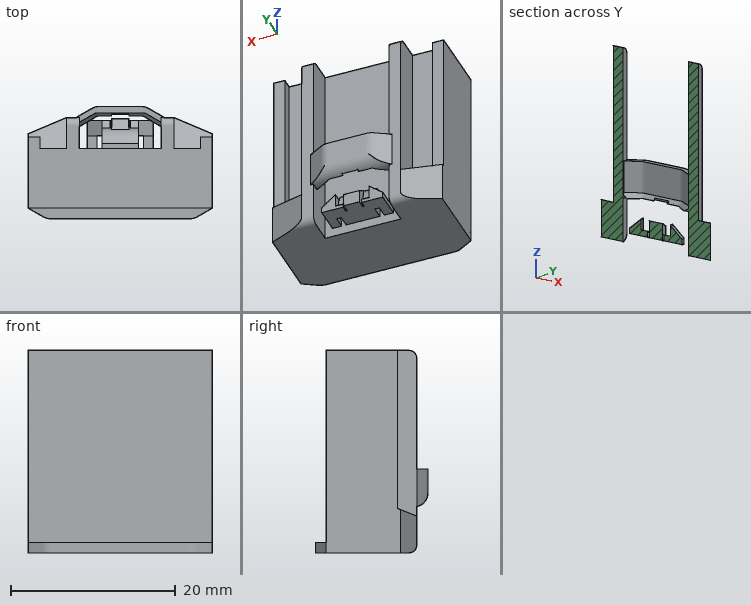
import cadquery as cq
import math

width = 22.35
height = 24.6
back_panel_y = 7.25
half_width = width / 2
side_slope = math.tan(math.radians(30))

lip_depth = 1.3
lip_height = 1.3
lip_corner_radius = 1.85

side_wall_thickness = 1.48
side_wall_y = 8.65
rib_inner_x = 4.97
rib_outer_x = 6.52
rib_y = 11.0
rib_end_radius = 0.98

foot_side_y = 9.03
foot_top_at_panel = 5.95
foot_top_at_rib = 4.48

arch_y = 12.35
arch_thickness = 0.79
arch_crown_half_width = 3.03
arch_bottom = 5.58
arch_top = 10.2
arch_edge_radius = 1.72
arch_bend_radius = 1.72
opening_crown_half_width = 2.98
opening_bend_radius = 1.1
hook_start = 6.25
hook_angle = 35.0
arch_notch_half_width = 1.03
arch_notch_y = 11.4

latch_half_width = 4.0
latch_y = 10.65
arm_inner_x = 2.8
latch_bottom = 1.23
arm_top = 1.97
shoulder_y = 8.78
shoulder_outer_top = 1.97
shoulder_inner_top = 3.45
tongue_half_width = 2.21
tongue_flat_y = 7.82
tongue_flat_top = 4.92
tongue_bend_angle = 75.0
tongue_step_y = 9.72
tongue_tip_top = 1.72
button_half_width = 1.03
button_gap = 0.17
button_gap_y = 9.82
button_back_y = 10.87
button_front_y = 9.52
button_front_top = 3.94
button_back_top = 2.95


def box(x0, x1, y0, y1, z0, z1):
    """Axis-aligned box between two corners."""
    return cq.Workplane("XY").box(x1 - x0, y1 - y0, z1 - z0, centered=False).translate((x0, y0, z0))


def extrude_along_x(profile, x0, x1):
    """Extrude a closed list of (y, z) points from x0 to x1."""
    return cq.Workplane("YZ", origin=(x0, 0, 0)).polyline(profile).close().extrude(x1 - x0)


def both_sides(shape):
    """The shape together with its mirror image across X = 0."""
    return shape.union(shape.mirror("YZ"))


def make_body():
    core = box(-half_width, half_width, 0, back_panel_y, 0, height)
    wall = box(half_width - side_wall_thickness, half_width, 0, side_wall_y, 0, height)
    return core.union(both_sides(wall))


def make_lip():
    tip_half_width = half_width - lip_depth / side_slope
    lip = (
        cq.Workplane("XY")
        .polyline([
            (-half_width, 0),
            (-tip_half_width, -lip_depth),
            (tip_half_width, -lip_depth),
            (half_width, 0),
        ])
        .close()
        .extrude(lip_height)
    )
    return lip.edges("|Z and <Y").fillet(lip_corner_radius)


def make_foot():
    foot = (
        cq.Workplane("XY")
        .polyline([
            (rib_outer_x, back_panel_y),
            (half_width, back_panel_y),
            (half_width, foot_side_y),
            (rib_outer_x, rib_y),
        ])
        .close()
        .extrude(foot_top_at_panel)
    )
    side_profile = extrude_along_x(
        [(back_panel_y, 0), (rib_y, 0), (rib_y, foot_top_at_rib), (back_panel_y, foot_top_at_panel)],
        rib_outer_x,
        half_width,
    )
    return foot.intersect(side_profile)


def make_ribs_and_feet():
    rib = box(rib_inner_x, rib_outer_x, back_panel_y, rib_y, 0, height)
    rounded_outline = box(rib_inner_x, half_width, 0, rib_y, 0, height)
    rounded_outline = rounded_outline.edges("|X and >Y").fillet(rib_end_radius)
    return both_sides(rib.union(make_foot()).intersect(rounded_outline))


def arch_prism(crown_y, crown_half_width, bend_radius, top, bottom, draft=0):
    """Flat-crowned prism with sloped sides, extruded downwards and narrowed by the draft angle."""
    slope_run = crown_y / side_slope
    prism = (
        cq.Sketch()
        .polygon([
            (-crown_half_width - slope_run, 0),
            (-crown_half_width, crown_y),
            (crown_half_width, crown_y),
            (crown_half_width + slope_run, 0),
            (-crown_half_width - slope_run, 0),
        ])
        .vertices(">Y")
        .fillet(bend_radius)
    )
    return (
        cq.Workplane("XY", origin=(0, 0, top))
        .placeSketch(prism)
        .extrude(bottom - top, taper=draft)
    )


def make_arch():
    arch = arch_prism(arch_y, arch_crown_half_width, arch_bend_radius, arch_top, arch_bottom)
    rounded_outline = box(-rib_outer_x, rib_outer_x, back_panel_y, arch_y, arch_bottom, arch_top)
    rounded_outline = rounded_outline.edges(">Y and <Z").fillet(arch_edge_radius)
    arch = arch.intersect(rounded_outline)

    opening_size = (arch_y - arch_thickness, opening_crown_half_width, opening_bend_radius)
    opening = arch_prism(*opening_size, arch_top, hook_start).union(
        arch_prism(*opening_size, hook_start, arch_bottom, hook_angle)
    )
    between_ribs = box(-rib_inner_x, rib_inner_x, 0, arch_y, arch_bottom, arch_top)
    notch = box(
        -arch_notch_half_width, arch_notch_half_width,
        back_panel_y, arch_notch_y, arch_bottom, arch_top,
    )
    return arch.cut(opening.intersect(between_ribs)).cut(notch)


def make_latch_side():
    arm = box(arm_inner_x, latch_half_width, back_panel_y, latch_y, latch_bottom, arm_top)
    shoulder = (
        cq.Workplane("XZ", origin=(0, latch_y, 0))
        .polyline([
            (tongue_half_width, latch_bottom),
            (latch_half_width, latch_bottom),
            (latch_half_width, shoulder_outer_top),
            (tongue_half_width, shoulder_inner_top),
        ])
        .close()
        .extrude(latch_y - shoulder_y)
    )
    return arm.union(shoulder)


def make_tongue():
    bend_angle = math.radians(tongue_bend_angle)
    bend_radius = (tongue_step_y - tongue_flat_y) / (1 - math.cos(bend_angle))
    bend_centre_y = tongue_step_y - bend_radius
    step_top = tongue_flat_top - bend_radius * math.sin(bend_angle)
    bend_middle = (
        bend_centre_y + bend_radius * math.cos(bend_angle / 2),
        step_top + bend_radius * math.sin(bend_angle / 2),
    )
    tongue = (
        cq.Workplane("YZ", origin=(-tongue_half_width, 0, 0))
        .moveTo(back_panel_y, latch_bottom)
        .lineTo(back_panel_y, tongue_flat_top)
        .lineTo(tongue_flat_y, tongue_flat_top)
        .threePointArc(bend_middle, (tongue_step_y, step_top))
        .lineTo(latch_y, tongue_tip_top)
        .lineTo(latch_y, latch_bottom)
        .close()
        .extrude(2 * tongue_half_width)
    )
    gap_half_width = button_half_width + button_gap
    gap = box(-gap_half_width, gap_half_width, button_gap_y, latch_y, latch_bottom, height)
    button = extrude_along_x(
        [
            (button_front_y, latch_bottom),
            (button_front_y, button_front_top),
            (button_back_y, button_back_top),
            (button_back_y, latch_bottom),
        ],
        -button_half_width,
        button_half_width,
    )
    return tongue.cut(gap).union(button)


result = (
    make_body()
    .union(make_lip())
    .union(make_ribs_and_feet())
    .union(make_arch())
    .union(both_sides(make_latch_side()))
    .union(make_tongue())
)